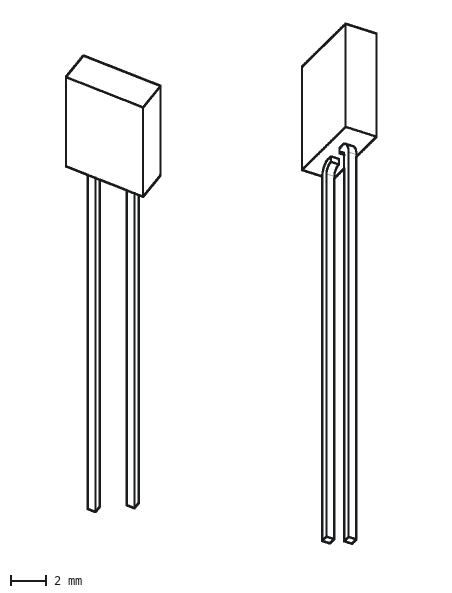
import cadquery as cq
import math

total_height = 34.0
housing_width = 5.0
housing_depth = 2.0
housing_height = 7.0

wire = 0.5
lead_pitch = 2.5
short_lead_step = 1.5

bend_drop = 0.9
bend_outer_radius = 1.02
bend_inner_radius = bend_outer_radius - wire
lead_outer_x = lead_pitch / 2 + wire / 2
lead_inner_x = lead_outer_x - wire
bend_center_x = lead_outer_x - bend_outer_radius

long_lead_reach = total_height - housing_height
short_lead_reach = long_lead_reach - short_lead_step


def make_housing():
    return cq.Workplane("XY").box(
        housing_width, housing_depth, housing_height, centered=(True, True, False)
    )


def make_lead(side, reach):
    """Make one lead; side is -1 for left or +1 for right."""
    def arc_point(radius, angle):
        return (
            side * (bend_center_x + radius * math.cos(angle)),
            radius * math.sin(angle) - bend_drop,
        )

    outer_angle = math.asin(bend_drop / bend_outer_radius)
    inner_angle = math.pi / 2
    return (
        cq.Workplane("XZ")
        .moveTo(side * lead_inner_x, -reach)
        .lineTo(side * lead_outer_x, -reach)
        .lineTo(side * lead_outer_x, -bend_drop)
        .threePointArc(
            arc_point(bend_outer_radius, outer_angle / 2),
            arc_point(bend_outer_radius, outer_angle),
        )
        .lineTo(side * bend_center_x, 0)
        .lineTo(*arc_point(bend_inner_radius, inner_angle))
        .threePointArc(
            arc_point(bend_inner_radius, inner_angle / 2),
            (side * lead_inner_x, -bend_drop),
        )
        .close()
        .extrude(wire / 2, both=True)
    )


housing = make_housing()
leads = [make_lead(side, reach) for side, reach in ((-1, long_lead_reach), (1, short_lead_reach))]

result = cq.Compound.makeCompound([housing.val(), *[lead.val() for lead in leads]])